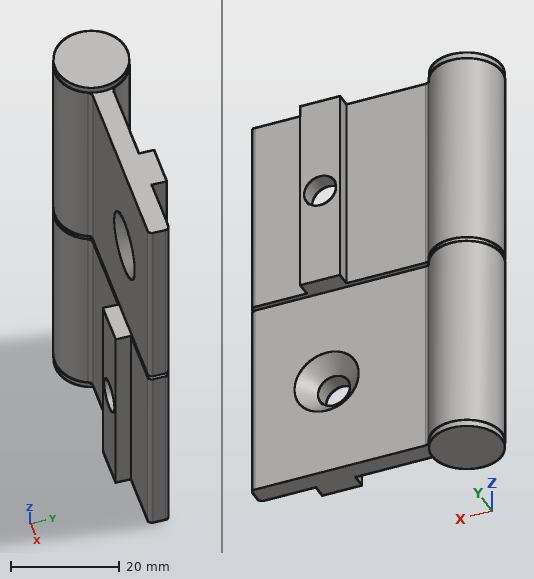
import cadquery as cq
import math


total_height = 84.0
barrel_diameter = 14.2
disc_diameter = 14.0
cap_height = 1.35
washer_height = 0.8
leaf_height = (total_height - washer_height) / 2 - cap_height

total_length = 50.1
plate_thickness = 4.0
neck_fillet = 1.0
edge_fillet = 0.8

rib_x = 27.55
rib_width = 8.1
rib_face_y = 4.95
hole_diameter = 6.5
countersink_diameter = 13.0
countersink_angle = 90.0

barrel_radius = barrel_diameter / 2
half_thickness = plate_thickness / 2
plate_end_x = total_length - barrel_radius
leaf_bottom_z = washer_height / 2
leaf_top_z = leaf_bottom_z + leaf_height
leaf_middle_z = leaf_bottom_z + leaf_height / 2


def leaf_blank():
    """Barrel and plate in one extrusion, with concave fillets at the neck."""
    fillet_y = half_thickness + neck_fillet
    fillet_x = math.sqrt((barrel_radius + neck_fillet) ** 2 - fillet_y**2)
    fillet_angle = math.atan2(fillet_y, fillet_x)
    neck_x = barrel_radius * math.cos(fillet_angle)
    neck_y = barrel_radius * math.sin(fillet_angle)

    middle_angle = (fillet_angle + math.pi + 3 * math.pi / 2) / 2
    middle_x = fillet_x + neck_fillet * math.cos(middle_angle)
    middle_y = fillet_y + neck_fillet * math.sin(middle_angle)

    profile = (
        cq.Workplane("XY", origin=(0, 0, leaf_bottom_z))
        .moveTo(neck_x, neck_y)
        .threePointArc((-barrel_radius, 0), (neck_x, -neck_y))
        .threePointArc((middle_x, -middle_y), (fillet_x, -half_thickness))
        .lineTo(plate_end_x, -half_thickness)
        .lineTo(plate_end_x, half_thickness)
        .lineTo(fillet_x, half_thickness)
        .threePointArc((middle_x, middle_y), (neck_x, neck_y))
        .close()
    )
    return profile.extrude(leaf_height).edges("|Z and >X").fillet(edge_fillet)


def rib():
    """Full-height rib on the +Y face, rooted at the middle of the plate."""
    return (
        cq.Workplane("XY", origin=(rib_x, rib_face_y / 2, leaf_bottom_z))
        .rect(rib_width, rib_face_y)
        .extrude(leaf_height)
    )


def make_leaf():
    """Upper leaf: rib on the +Y face, hole countersunk from the -Y face."""
    screw_face = cq.Workplane("XZ", origin=(rib_x, -half_thickness, leaf_middle_z))
    return (
        leaf_blank()
        .union(rib())
        .copyWorkplane(screw_face)
        .cskHole(hole_diameter, countersink_diameter, countersink_angle)
    )


def make_disc(bottom_z, height):
    """Plain disc on the hinge axis."""
    return cq.Workplane("XY", origin=(0, 0, bottom_z)).circle(disc_diameter / 2).extrude(height)


upper_leaf = make_leaf()
leaves = [upper_leaf.rotate((0, 0, 0), (1, 0, 0), turn).val() for turn in (0, 180)]

washer = make_disc(-washer_height / 2, washer_height)

caps = [make_disc(bottom_z, cap_height).val() for bottom_z in (leaf_top_z, -leaf_top_z - cap_height)]

result = cq.Compound.makeCompound([*leaves, washer.val(), *caps])